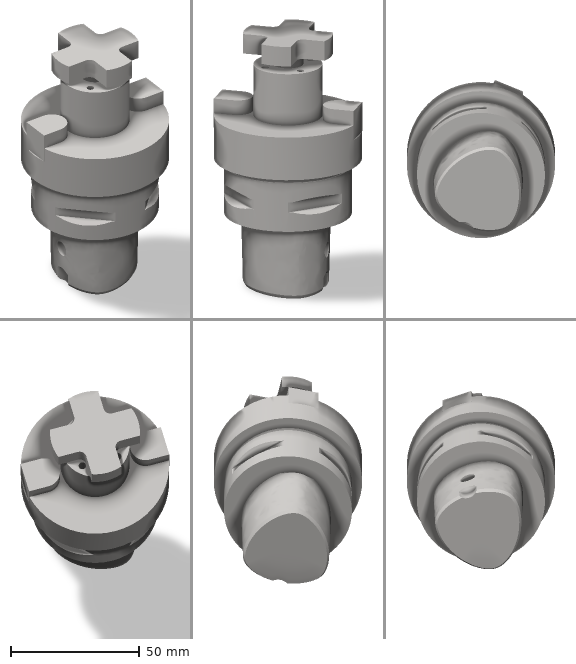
import cadquery as cq
import math

SHANK_TOP = 30.0
BODY_TOP = 50.0
NECK_TOP = 52.5
FLANGE_TOP = 70.0
PILOT_TOP = 91.0
SCREW_NECK_TOP = 95.5
TOTAL_HEIGHT = 103.5

BODY_RADIUS = 50.0 / 2
NECK_RADIUS = 24.5
FLANGE_RADIUS = 29.0
PILOT_RADIUS = 27.0 / 2
TENON_WIDTH = 12.0

SHANK_RADIUS = 17.5
LOBE_HEIGHT = 1.2
OUTLINE_POINTS = 48
COLLAR_HEIGHT = 2.9
SHANK_TAPER = 1 / 40
END_CHAMFER_HEIGHT = 1.5
END_CHAMFER_DEPTH = 0.8

RELIEF_RADIUS = 17.6
RELIEF_HEIGHT = 0.8
RELIEF_FLARE = 1.3
RELIEF_FLARE_HEIGHT = 0.9

SHANK_HOLE_RADIUS = 3.0
SHANK_HOLE_POINT_ANGLE = math.radians(118)
SHANK_HOLE_LEVEL = 16.0
SHANK_HOLE_DEPTH = 9.3
KEYWAY_RADIUS = 4.6
KEYWAY_CENTRE = 18.2
KEYWAY_HEIGHT = 5.5
KEYWAY_POINT_ANGLE = math.radians(105)

SLOT_LEVEL = (SHANK_TOP + BODY_TOP) / 2
SLOT_FLOOR_DISTANCE = 21.9
SLOT_FLOOR_HEIGHT = 4.0
SLOT_WALL_DEPTH = 0.7
SLOT_MOUTH_HEIGHT = 6.9

KEY_FACE_DISTANCE = 28.5
KEY_TOP = 76.0
KEY_HEIGHT = TENON_WIDTH
KEY_ROUND_CENTRE = 20.5

COOLANT_RADIUS = 1.5
COOLANT_SPACING = 14.4
COOLANT_DEPTH = PILOT_TOP - FLANGE_TOP
HEAD_RADIUS = 17.6
HEAD_CORNER_RADIUS = 2.7

DIAGONALS = (45, 135, 225, 315)


def turned(profile):
    """Revolve (radius, level) points about Z, starting on the -X side."""
    points = [(-radius, level) for radius, level in profile]
    return cq.Workplane("XZ").polyline(points).close().revolve(360, (0, 0, 0), (0, 1, 0))


def cylinder(radius, bottom, top):
    return turned([(0, bottom), (radius, bottom), (radius, top), (0, top)])


def lobed_wire(radius, level):
    """Constant-width outline with three lobes, starting at the middle of the flat -Y side."""

    def outline_point(angle):
        reach = radius + LOBE_HEIGHT * math.cos(3 * angle)
        slope = -3 * LOBE_HEIGHT * math.sin(3 * angle)
        along_x = reach * math.sin(angle) + slope * math.cos(angle)
        along_y = reach * math.cos(angle) - slope * math.sin(angle)
        return cq.Vector(along_x, along_y, level)

    turns = [index / OUTLINE_POINTS for index in range(OUTLINE_POINTS)]
    points = [outline_point(math.pi + 2 * math.pi * turn) for turn in turns]
    return cq.Wire.assembleEdges([cq.Edge.makeSpline(points, periodic=True)])


def shank_section(lower, upper):
    """Ruled piece between two (radius, level) outlines."""
    wires = [lobed_wire(*lower), lobed_wire(*upper)]
    return cq.Workplane(cq.Solid.makeLoft(wires, True))


def shank():
    collar_bottom = SHANK_TOP - COLLAR_HEIGHT
    tip_radius = SHANK_RADIUS - SHANK_TAPER * (collar_bottom - END_CHAMFER_HEIGHT)
    outlines = [
        (tip_radius - END_CHAMFER_DEPTH, 0),
        (tip_radius, END_CHAMFER_HEIGHT),
        (SHANK_RADIUS, collar_bottom),
        (SHANK_RADIUS, SHANK_TOP),
    ]
    solid = shank_section(outlines[0], outlines[1])
    for lower, upper in zip(outlines[1:], outlines[2:]):
        solid = solid.union(shank_section(lower, upper))
    return solid.cut(lobe_relief()).cut(shank_hole()).cut(keyway())


def lobe_relief():
    outer = RELIEF_RADIUS + RELIEF_FLARE
    relief_bottom = SHANK_TOP - RELIEF_HEIGHT
    return turned([
        (RELIEF_RADIUS, SHANK_TOP),
        (RELIEF_RADIUS, relief_bottom),
        (outer, relief_bottom - RELIEF_FLARE_HEIGHT),
        (outer, SHANK_TOP),
    ])


def drill(radius, straight_length, point_angle):
    """Drill shape along +Z from the origin, ending in a conical point."""
    point_length = radius / math.tan(point_angle / 2)
    return turned([
        (0, 0),
        (radius, 0),
        (radius, straight_length),
        (0, straight_length + point_length),
    ])


def shank_hole():
    start = SHANK_RADIUS + LOBE_HEIGHT
    flat_side = SHANK_RADIUS - LOBE_HEIGHT
    straight_length = start - flat_side + SHANK_HOLE_DEPTH
    tool = drill(SHANK_HOLE_RADIUS, straight_length, SHANK_HOLE_POINT_ANGLE)
    return tool.rotate((0, 0, 0), (1, 0, 0), -90).translate((0, -start, SHANK_HOLE_LEVEL))


def keyway():
    tool = drill(KEYWAY_RADIUS, KEYWAY_HEIGHT, KEYWAY_POINT_ANGLE)
    return tool.translate((0, -KEYWAY_CENTRE, 0))


def turned_body():
    return (
        cylinder(BODY_RADIUS, SHANK_TOP, BODY_TOP)
        .union(cylinder(NECK_RADIUS, BODY_TOP, NECK_TOP))
        .union(cylinder(FLANGE_RADIUS, NECK_TOP, FLANGE_TOP))
        .union(cylinder(PILOT_RADIUS, FLANGE_TOP, PILOT_TOP))
        .union(cylinder(TENON_WIDTH / 2, PILOT_TOP, SCREW_NECK_TOP))
    )


def gripper_slot():
    """Straight slot across the +X side: flat floor, short straight walls and a flared mouth."""
    half_floor = SLOT_FLOOR_HEIGHT / 2
    half_mouth = SLOT_MOUTH_HEIGHT / 2
    flare_start = SLOT_FLOOR_DISTANCE + SLOT_WALL_DEPTH
    profile = [
        (SLOT_FLOOR_DISTANCE, -half_floor),
        (SLOT_FLOOR_DISTANCE, half_floor),
        (flare_start, half_floor),
        (BODY_RADIUS, half_mouth),
        (BODY_RADIUS, -half_mouth),
        (flare_start, -half_floor),
    ]
    slot = cq.Workplane("XZ").polyline(profile).close().extrude(BODY_RADIUS, both=True)
    return slot.translate((0, 0, SLOT_LEVEL))


def key_outline():
    """Plan of the key on the -Y side: flat outer face and round inner end."""
    half = TENON_WIDTH / 2
    return (
        cq.Workplane("XY")
        .workplane(offset=KEY_TOP - KEY_HEIGHT)
        .moveTo(-half, -KEY_FACE_DISTANCE)
        .lineTo(half, -KEY_FACE_DISTANCE)
        .lineTo(half, -KEY_ROUND_CENTRE)
        .threePointArc((0, half - KEY_ROUND_CENTRE), (-half, -KEY_ROUND_CENTRE))
        .close()
    )


def key_notch():
    """Clears the flange rim in front of the key on the -Y side."""
    return (
        cq.Workplane("XY")
        .workplane(offset=KEY_TOP - KEY_HEIGHT)
        .center(0, -(KEY_FACE_DISTANCE + FLANGE_RADIUS) / 2)
        .rect(TENON_WIDTH, FLANGE_RADIUS - KEY_FACE_DISTANCE)
        .extrude(KEY_HEIGHT)
    )


def coolant_holes():
    return (
        cq.Workplane("XY")
        .workplane(offset=PILOT_TOP)
        .rect(COOLANT_SPACING, COOLANT_SPACING, forConstruction=True)
        .vertices()
        .circle(COOLANT_RADIUS)
        .extrude(-COOLANT_DEPTH)
    )


def screw_head():
    """Cross with rounded inner corners and arms trimmed to a circle."""
    height = TOTAL_HEIGHT - SCREW_NECK_TOP
    base = cq.Workplane("XY").workplane(offset=SCREW_NECK_TOP)
    arm = base.rect(2 * HEAD_RADIUS, TENON_WIDTH).extrude(height)
    cross = arm.union(arm.rotate((0, 0, 0), (0, 0, 1), 90))
    inner_corners = cq.selectors.BoxSelector(
        (-TENON_WIDTH, -TENON_WIDTH, SCREW_NECK_TOP), (TENON_WIDTH, TENON_WIDTH, TOTAL_HEIGHT)
    )
    cross = cross.edges("|Z").edges(inner_corners).fillet(HEAD_CORNER_RADIUS)
    return cross.intersect(cylinder(HEAD_RADIUS, SCREW_NECK_TOP, TOTAL_HEIGHT))


result = turned_body().union(shank())
for angle in DIAGONALS:
    result = result.cut(gripper_slot().rotate((0, 0, 0), (0, 0, 1), angle))

for angle in (0, 180):
    result = result.cut(key_notch().rotate((0, 0, 0), (0, 0, 1), angle))
    key = key_outline().extrude(KEY_HEIGHT)
    result = result.union(key.rotate((0, 0, 0), (0, 0, 1), angle))

result = result.cut(coolant_holes()).union(screw_head())